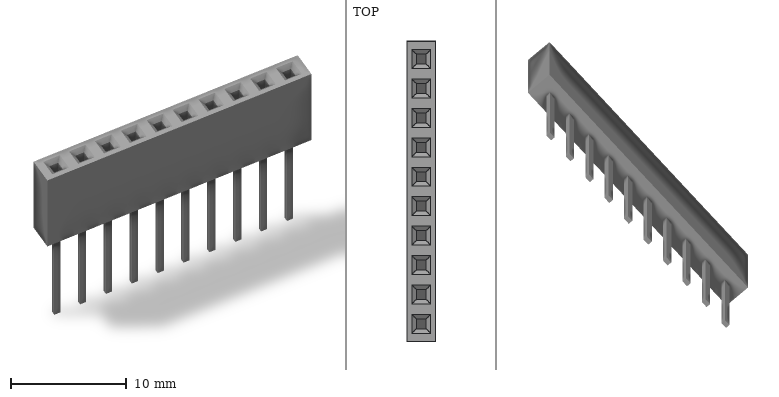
import cadquery as cq

body_width = 2.5
body_length = 25.95
body_height = 8.5

pin_thickness = 0.42
pin_width = 0.6
pin_length = 10.48

mouth_size = 1.63
lead_in_depth = 0.4
hole_size = mouth_size - 2 * lead_in_depth
socket_depth = body_height / 2

contact_count = 10
end_wall = 0.73
row_length = body_length - 2 * end_wall - mouth_size
contact_pitch = row_length / (contact_count - 1)
contact_positions = [i * contact_pitch - row_length / 2 for i in range(contact_count)]


def make_body():
    return cq.Workplane("XY").box(
        body_width, body_length, body_height, centered=(True, True, False)
    )


def make_socket():
    """Return the void of one socket, centred on the Z axis."""
    lead_in = (
        cq.Workplane("XY", origin=(0, 0, body_height))
        .rect(mouth_size, mouth_size)
        .workplane(offset=-lead_in_depth)
        .rect(hole_size, hole_size)
        .loft(ruled=True)
    )
    hole = (
        cq.Workplane("XY", origin=(0, 0, body_height - lead_in_depth))
        .rect(hole_size, hole_size)
        .extrude(lead_in_depth - socket_depth)
    )
    return lead_in.union(hole)


def make_pin():
    """Return one pin hanging from the base of the housing on the Z axis."""
    return cq.Workplane("XY").rect(pin_thickness, pin_width).extrude(-pin_length)


socket = make_socket()
pin = make_pin()

result = make_body()
for y in contact_positions:
    result = result.cut(socket.translate((0, y, 0)))
    result = result.union(pin.translate((0, y, 0)))